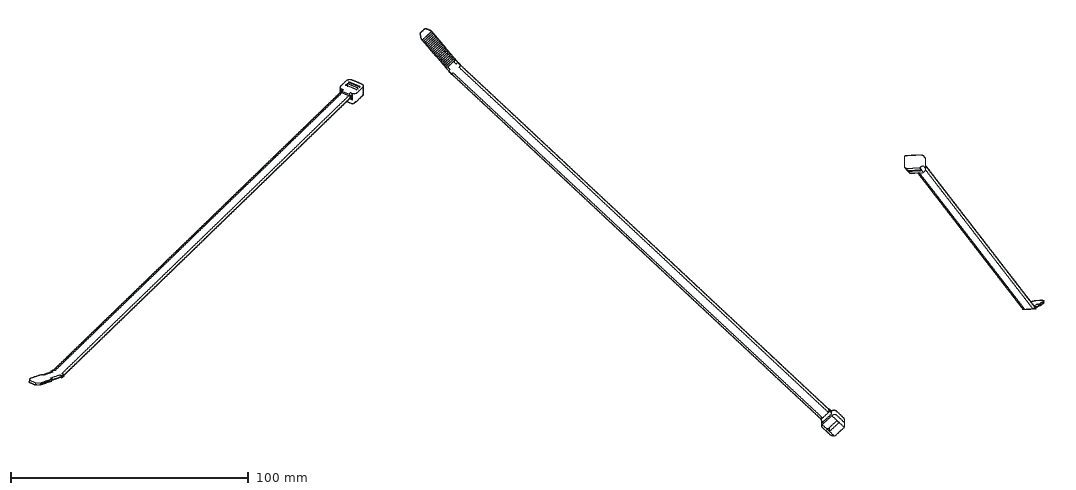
import cadquery as cq
import math

total_length = 249.0
total_height = 13.5

head_width = 8.2
head_length = 7.5
head_height = 5.7
rear_corner_radius = 1.7
front_corner_radius = 1.5
base_bevel = 1.2

slot_width = 5.5
slot_length = 1.2
slot_offset = 3.7
relief_length = 0.37
relief_depth = 3.0
relief_offset = 2.0

strap_width = 5.5
strap_thickness = 1.0
strap_top = 5.0
edge_bevel_width = 1.0
edge_bevel_depth = 0.37

neck_length = 1.2
gusset_length = 0.87
gusset_base = 2.2

tail_angle = 24.0
bend_facet_length = 1.5
tail_bevel_length = 8.0
tip_width = 3.0
tip_length = 2.2

grip_pitch = 1.5
grip_width = 0.7
grip_depth = 0.2

head_end = total_length / 2
head_front = head_end - head_length
neck_end = head_front - neck_length
strap_bottom = strap_top - strap_thickness
full_bend = math.radians(tail_angle)
half_bend = full_bend / 2
facet_rise = bend_facet_length * math.sin(half_bend)
facet_reach = bend_facet_length * math.cos(half_bend)
tail_length = (total_height - strap_top - facet_rise) / math.sin(full_bend)
end_lean = strap_thickness * math.sin(full_bend)
tail_start_y = -total_length / 2 + end_lean + tail_length * math.cos(full_bend)
bend_start_y = tail_start_y + facet_reach
strap_length = head_front - bend_start_y


def path_plane(y, z, slope):
    """Plane across the strap at its top face, facing along the strap towards the tip."""
    return cq.Plane(
        origin=(0, y, z),
        xDir=(1, 0, 0),
        normal=(0, -math.cos(slope), math.sin(slope)),
    )


neck_plane = path_plane(head_front, head_height, 0)
strap_plane = path_plane(head_front, strap_top, 0)
tail_plane = path_plane(tail_start_y, strap_top + facet_rise, full_bend)


def edge_bevel(plane, side, face_height, inward, length):
    """Triangular cutter along one long edge; inward is +1 to cut upwards, -1 downwards."""
    edge = side * strap_width / 2
    return (
        cq.Workplane(plane)
        .polyline([
            (edge, face_height),
            (edge - side * edge_bevel_width, face_height),
            (edge, face_height + inward * edge_bevel_depth),
        ])
        .close()
        .extrude(length)
    )


def bevel_long_edges(body, plane, length):
    for side in (-1, 1):
        body = body.cut(edge_bevel(plane, side, 0, -1, length))
        body = body.cut(edge_bevel(plane, side, -strap_thickness, 1, length))
    return body


def make_head():
    head = (
        cq.Workplane("XY")
        .box(head_width, head_length, head_height, centered=(True, False, False))
        .translate((0, head_front, 0))
    )
    head = head.edges("|Z and >Y").fillet(rear_corner_radius)
    head = head.edges("|Z and <Y").fillet(front_corner_radius)
    base_half = head_width / 2 - base_bevel
    for side in (-1, 1):
        bevel = (
            cq.Workplane("XZ", origin=(0, head_end, 0))
            .polyline([
                (side * base_half, 0),
                (side * head_width / 2, 0),
                (side * head_width / 2, base_bevel),
            ])
            .close()
            .extrude(head_length)
        )
        head = head.cut(bevel)
    return head


def cut_passages(head):
    slot = (
        cq.Workplane("XY", origin=(0, head_end - slot_offset, 0))
        .rect(slot_width, slot_length)
        .extrude(head_height)
    )
    relief = (
        cq.Workplane("XY", origin=(0, head_end - relief_offset, head_height))
        .rect(slot_width, relief_length)
        .extrude(-relief_depth)
    )
    return head.cut(slot).cut(relief)


def make_neck():
    neck = (
        cq.Workplane("YZ")
        .polyline([
            (head_front, gusset_base),
            (head_front - gusset_length, strap_bottom),
            (neck_end, strap_bottom),
            (neck_end, head_height),
            (head_front, head_height),
        ])
        .close()
        .extrude(strap_width / 2, both=True)
    )
    for side in (-1, 1):
        neck = neck.cut(edge_bevel(neck_plane, side, 0, -1, neck_length))
    return neck


def make_strap():
    bisector_lean = (half_bend / 2, full_bend - half_bend / 2)
    miter_depth = strap_thickness / math.cos(half_bend / 2)
    tail_start_z = strap_top + facet_rise
    end_drop = strap_thickness * math.cos(full_bend)
    tip_y = -total_length / 2
    strap = (
        cq.Workplane("YZ")
        .polyline([
            (head_front, strap_top),
            (bend_start_y, strap_top),
            (tail_start_y, tail_start_z),
            (tip_y + end_lean, total_height),
            (tip_y, total_height - end_drop),
            (
                tail_start_y - miter_depth * math.sin(bisector_lean[1]),
                tail_start_z - miter_depth * math.cos(bisector_lean[1]),
            ),
            (
                bend_start_y - miter_depth * math.sin(bisector_lean[0]),
                strap_top - miter_depth * math.cos(bisector_lean[0]),
            ),
            (head_front, strap_bottom),
        ])
        .close()
        .extrude(strap_width / 2, both=True)
    )
    strap = bevel_long_edges(strap, strap_plane, strap_length)
    return bevel_long_edges(strap, tail_plane, tail_bevel_length)


def taper_tip(strap):
    tip_plane = tail_plane.rotated((90, 0, 0))
    for side in (-1, 1):
        corner = (
            cq.Workplane(tip_plane)
            .polyline([
                (side * strap_width / 2, tail_length),
                (side * tip_width / 2, tail_length),
                (side * strap_width / 2, tail_length - tip_length),
            ])
            .close()
            .extrude(strap_thickness, both=True)
        )
        strap = strap.cut(corner)
    return strap


def cut_grips(strap):
    grip_count = int((tail_length - tip_length) / grip_pitch)
    for index in range(1, grip_count + 1):
        groove = (
            cq.Workplane(tail_plane)
            .workplane(offset=index * grip_pitch)
            .center(0, -strap_thickness)
            .rect(strap_width, 2 * grip_depth)
            .extrude(grip_width)
        )
        strap = strap.cut(groove)
    return strap


head = cut_passages(make_head())
strap = cut_grips(taper_tip(make_strap()))
result = head.union(make_neck()).union(strap)